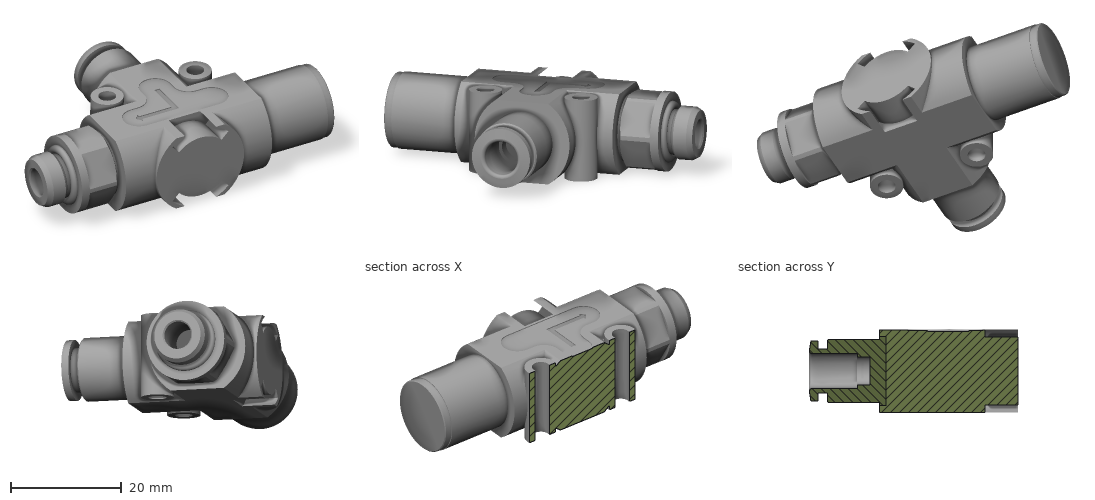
import cadquery as cq
import math


BODY_HEIGHT = 15.0
BRANCH_DIAMETER = 18.0
RUN_HALF_LENGTH = 15.0
SIDE_INLET_X = -15.6
SIDE_CLOSED_X = 9.45

EAR_DIAMETER = 6.0
EAR_HOLE_DIAMETER = 3.2
EAR_OFFSET = 9.05

HUB_DIAMETER = 12.3
POCKET_SLOT_WIDTH = 6.45
POCKET_DEPTH = 6.0

TRACK_WIDTH = 6.0
TRACK_REACH = 10.5
TRACK_DEPTH = 0.2
ARROW_WIDTH = 1.05
ARROW_TAIL_X = -6.9
ARROW_TIP_Y = -8.05
ARROW_HEAD_WIDTH = 2.2
ARROW_HEAD_LENGTH = 0.9
ARROW_DEPTH = 0.2

PLUG_FLATS = 12.3
PLUG_DIAMETER = 13.7
PLUG_DEPTH = 1.15
BARREL_DIAMETER = 11.5
BARREL_LENGTH = 9.4
BARREL_CHAMFER = 0.25
RING_NECK_DIAMETER = 8.0
RING_NECK_LENGTH = 1.65
RING_DIAMETER = 11.0
RING_LENGTH = 1.6
RING_FACE_TAPER = 0.3
TUBE_MOUTH_DIAMETER = 7.45
TUBE_BORE_DIAMETER = 6.2
TUBE_BORE_DEPTH = 8.65
TUBE_STOP_BORE_DIAMETER = 5.0
TUBE_STOP_BORE_DEPTH = 2.3

STUD_LENGTH = 13.6
COLLAR_DIAMETER = 12.3
HEX_START = 0.35
HEX_END = 6.5
HEX_FLATS = 12.95
HEX_CHAMFER_LENGTH = 0.65
FLANGE_DIAMETER = 14.5
FLANGE_END = 8.05
SEAL_DIAMETER = 11.2
SEAL_END = 8.9
UNDERCUT_DIAMETER = 8.3
UNDERCUT_END = 9.45
THREAD_DIAMETER = 9.75
THREAD_START = 10.15
THREAD_TIP_DIAMETER = 8.65
THREAD_TIP_LENGTH = 1.0
STUD_MOUTH_DIAMETER = 5.55
STUD_BORE_DIAMETER = 5.0
STUD_BORE_DEPTH = 8.65

CAP_LENGTH = 14.05
CAP_DIAMETER = 14.0
CAP_BAND_DIAMETER = 13.7
CAP_BAND_LENGTH = 1.45
CAP_CHAMFER = 0.2


def cylinder_x(diameter, x_start, x_end):
    """Round bar on the X axis."""
    return cq.Workplane("YZ", origin=(x_start, 0, 0)).circle(diameter / 2).extrude(x_end - x_start)


def cylinder_y(diameter, y_start, y_end):
    """Round bar on the Y axis."""
    return cq.Workplane("XZ", origin=(0, y_start, 0)).circle(diameter / 2).extrude(y_start - y_end)


def plug_shape(x_start, x_end):
    """Square bar on the X axis with its corners turned to a circle."""
    square = cq.Workplane("YZ", origin=(x_start, 0, 0)).rect(PLUG_FLATS, PLUG_FLATS).extrude(x_end - x_start)
    return square.intersect(cylinder_x(PLUG_DIAMETER, x_start, x_end))


def end_pocket(direction):
    """Quarter-ring pocket between the hub and the branch wall; direction is +1 for up, -1 for down."""
    half_height = BODY_HEIGHT / 2
    outer_radius = math.hypot(half_height, POCKET_SLOT_WIDTH / 2)
    inner_radius = HUB_DIAMETER / 2
    inner_corner = inner_radius * math.sqrt(0.5)
    outer_corner = outer_radius * math.sqrt(0.5)
    return (
        cq.Workplane("YZ", origin=(SIDE_CLOSED_X - POCKET_DEPTH, 0, 0))
        .moveTo(-inner_corner, direction * inner_corner)
        .lineTo(-outer_corner, direction * outer_corner)
        .threePointArc((0, direction * outer_radius), (outer_corner, direction * outer_corner))
        .lineTo(inner_corner, direction * inner_corner)
        .threePointArc((0, direction * inner_radius), (-inner_corner, direction * inner_corner))
        .close()
        .extrude(POCKET_DEPTH)
    )


def flow_track():
    """Shallow T-shaped recess with round ends and round inner corners."""
    half_width = TRACK_WIDTH / 2
    straight_end = TRACK_REACH - half_width
    corner = 2 * half_width
    arc_mid = corner - half_width * math.sqrt(0.5)
    floor = BODY_HEIGHT / 2 - TRACK_DEPTH
    return (
        cq.Workplane("XY", origin=(0, 0, floor))
        .moveTo(half_width, -straight_end)
        .lineTo(half_width, straight_end)
        .threePointArc((0, TRACK_REACH), (-half_width, straight_end))
        .lineTo(-half_width, corner)
        .threePointArc((-arc_mid, arc_mid), (-corner, half_width))
        .lineTo(-straight_end, half_width)
        .threePointArc((-TRACK_REACH, 0), (-straight_end, -half_width))
        .lineTo(-corner, -half_width)
        .threePointArc((-arc_mid, -arc_mid), (-half_width, -corner))
        .lineTo(-half_width, -straight_end)
        .threePointArc((0, -TRACK_REACH), (half_width, -straight_end))
        .close()
        .extrude(TRACK_DEPTH)
    )


def flow_arrow():
    """Bent arrow sunk into the floor of the track, from the side branch towards the stud."""
    half_width = ARROW_WIDTH / 2
    head_y = ARROW_TIP_Y + ARROW_HEAD_LENGTH
    floor = BODY_HEIGHT / 2 - TRACK_DEPTH - ARROW_DEPTH
    return (
        cq.Workplane("XY", origin=(0, 0, floor))
        .moveTo(ARROW_TAIL_X, half_width)
        .lineTo(half_width, half_width)
        .lineTo(half_width, head_y)
        .lineTo(ARROW_HEAD_WIDTH / 2, head_y)
        .lineTo(0, ARROW_TIP_Y)
        .lineTo(-ARROW_HEAD_WIDTH / 2, head_y)
        .lineTo(-half_width, head_y)
        .lineTo(-half_width, -half_width)
        .lineTo(ARROW_TAIL_X, -half_width)
        .close()
        .extrude(ARROW_DEPTH)
    )


def make_housing():
    """Crossed round branches with flat top and bottom, two mounting ears and end pockets."""
    slab = cq.Workplane("XY").box(4 * RUN_HALF_LENGTH, 4 * RUN_HALF_LENGTH, BODY_HEIGHT)
    run = cylinder_y(BRANCH_DIAMETER, -RUN_HALF_LENGTH, RUN_HALF_LENGTH)
    side = cylinder_x(BRANCH_DIAMETER, SIDE_INLET_X, SIDE_CLOSED_X)
    body = run.union(side).intersect(slab)

    ear_places = [(-EAR_OFFSET, -EAR_OFFSET), (-EAR_OFFSET, EAR_OFFSET)]
    ear_plane = cq.Workplane("XY", origin=(0, 0, -BODY_HEIGHT / 2)).pushPoints(ear_places)
    body = body.union(ear_plane.circle(EAR_DIAMETER / 2).extrude(BODY_HEIGHT))
    body = body.cut(ear_plane.circle(EAR_HOLE_DIAMETER / 2).extrude(BODY_HEIGHT))

    for direction in (1, -1):
        body = body.cut(end_pocket(direction))
    body = body.cut(flow_track()).cut(flow_arrow())
    return body.cut(plug_shape(SIDE_INLET_X, SIDE_INLET_X + PLUG_DEPTH))


def make_push_in_fitting():
    """Turned barrel and release ring with a stepped bore, held by a plug set flush in the housing."""
    barrel_end = SIDE_INLET_X - BARREL_LENGTH
    neck_end = barrel_end - RING_NECK_LENGTH
    ring_end = neck_end - RING_LENGTH
    bore_end = ring_end + TUBE_BORE_DEPTH
    stop_bore_end = bore_end + TUBE_STOP_BORE_DEPTH

    barrel_radius = BARREL_DIAMETER / 2
    neck_radius = RING_NECK_DIAMETER / 2
    ring_radius = RING_DIAMETER / 2
    mouth_radius = TUBE_MOUTH_DIAMETER / 2
    bore_radius = TUBE_BORE_DIAMETER / 2
    stop_bore_radius = TUBE_STOP_BORE_DIAMETER / 2
    rounding = mouth_radius - bore_radius
    rounding_sag = rounding * (1 - math.sqrt(0.5))
    rounding_mid = (ring_end + rounding_sag, bore_radius + rounding_sag)

    turned = (
        cq.Workplane("XY")
        .moveTo(SIDE_INLET_X, 0)
        .lineTo(SIDE_INLET_X, barrel_radius)
        .lineTo(barrel_end + BARREL_CHAMFER, barrel_radius)
        .lineTo(barrel_end, barrel_radius - BARREL_CHAMFER)
        .lineTo(barrel_end, neck_radius)
        .lineTo(neck_end, neck_radius)
        .lineTo(neck_end, ring_radius)
        .lineTo(ring_end + RING_FACE_TAPER, ring_radius)
        .lineTo(ring_end, mouth_radius)
        .threePointArc(rounding_mid, (ring_end + rounding, bore_radius))
        .lineTo(bore_end, bore_radius)
        .lineTo(bore_end, stop_bore_radius)
        .lineTo(stop_bore_end, stop_bore_radius)
        .lineTo(stop_bore_end, 0)
        .close()
        .revolve(360, (0, 0), (1, 0))
    )
    return turned.union(plug_shape(SIDE_INLET_X, SIDE_INLET_X + PLUG_DEPTH))


def hex_bar(y_start, y_end):
    """Hexagonal bar on the Y axis with two flats facing up and down."""
    across_corners = HEX_FLATS / math.cos(math.pi / 6)
    return cq.Workplane("XZ", origin=(0, y_start, 0)).polygon(6, across_corners).extrude(y_start - y_end)


def make_stud():
    """Turned stud with a hexagon, a sealing flange with its round seal, and a threaded end."""
    undercut_radius = UNDERCUT_DIAMETER / 2
    seal_section_radius = SEAL_END - FLANGE_END
    seal_ring_radius = SEAL_DIAMETER / 2 - seal_section_radius
    seal_drop = math.sqrt(seal_section_radius**2 - (seal_ring_radius - undercut_radius) ** 2)
    flange_radius = FLANGE_DIAMETER / 2
    turned = (
        cq.Workplane("XY")
        .lineTo(COLLAR_DIAMETER / 2, 0)
        .lineTo(COLLAR_DIAMETER / 2, -HEX_START)
        .lineTo(flange_radius, -HEX_START - HEX_CHAMFER_LENGTH)
        .lineTo(flange_radius, -FLANGE_END)
        .lineTo(SEAL_DIAMETER / 2, -FLANGE_END)
        .threePointArc((seal_ring_radius, -SEAL_END), (undercut_radius, -FLANGE_END - seal_drop))
        .lineTo(undercut_radius, -UNDERCUT_END)
        .lineTo(THREAD_DIAMETER / 2, -THREAD_START)
        .lineTo(THREAD_DIAMETER / 2, -STUD_LENGTH + THREAD_TIP_LENGTH)
        .lineTo(THREAD_TIP_DIAMETER / 2, -STUD_LENGTH)
        .lineTo(0, -STUD_LENGTH)
        .close()
        .revolve(360, (0, 0), (0, 1))
        .translate((0, -RUN_HALF_LENGTH, 0))
    )
    hex_top = -RUN_HALF_LENGTH - HEX_START
    hex_bottom = -RUN_HALF_LENGTH - HEX_END
    around_hex = cylinder_y(2 * FLANGE_DIAMETER, hex_top, hex_bottom).cut(hex_bar(hex_top, hex_bottom))
    stud = turned.cut(around_hex)

    tip = -RUN_HALF_LENGTH - STUD_LENGTH
    mouth_chamfer = (STUD_MOUTH_DIAMETER - STUD_BORE_DIAMETER) / 2
    stud = stud.cut(cylinder_y(STUD_BORE_DIAMETER, tip + STUD_BORE_DEPTH, tip))
    return stud.faces("<Y").edges(cq.selectors.RadiusNthSelector(0)).chamfer(mouth_chamfer)


def make_cap():
    """Plain round cap with a slightly smaller band at its outer end."""
    cap_end = RUN_HALF_LENGTH + CAP_LENGTH
    band_start = cap_end - CAP_BAND_LENGTH
    sleeve = cylinder_y(CAP_DIAMETER, RUN_HALF_LENGTH, band_start)
    band = cylinder_y(CAP_BAND_DIAMETER, band_start, cap_end).faces(">Y").chamfer(CAP_CHAMFER)
    return sleeve.union(band)


housing = make_housing()
push_in_fitting = make_push_in_fitting()
stud = make_stud()
cap = make_cap()

result = cq.Compound.makeCompound([housing.val(), push_in_fitting.val(), stud.val(), cap.val()])